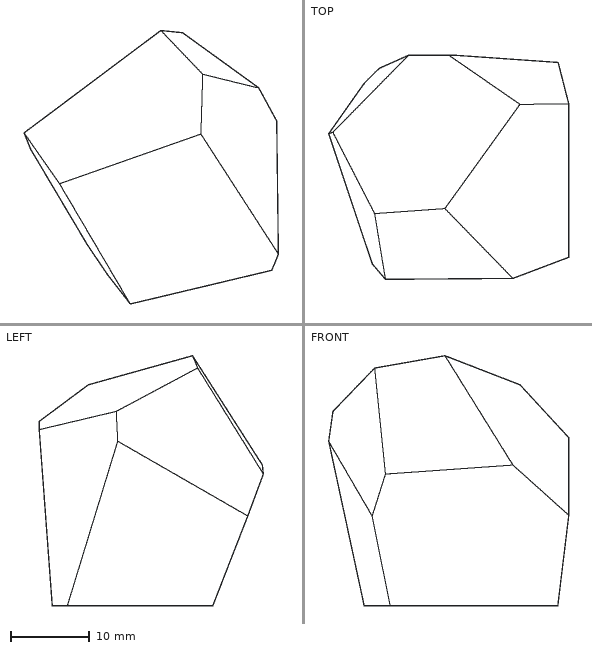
import cadquery as cq

length_x = 30.72
width_y = 28.67
height_z = 32.0

left = -length_x / 2
right = length_x / 2
front = -width_y / 2
back = width_y / 2

peak = cq.Vector(-0.48, -5.28, height_z)
crown_left = cq.Vector(-9.47, -5.92, 30.43)
crown_right = cq.Vector(9.12, 8.03, 28.3)
shoulder_left = cq.Vector(-14.8, 4.48, 24.85)
shoulder_right = cq.Vector(right, 8.1, 21.5)
shoulder_back_left = cq.Vector(-5.12, back, 22.53)
shoulder_back = cq.Vector(0, back, 23.6)

girdle_left = cq.Vector(left, 4.3, 21.05)
girdle_front_left = cq.Vector(-8.1, front, 16.83)
girdle_front_right = cq.Vector(8.15, -14.18, 18.08)
waist_left = cq.Vector(-9.8, -12.35, 11.5)
waist_right = cq.Vector(right, -11.52, 11.6)
waist_back_right = cq.Vector(14.0, 13.4, 10.72)

base_front_left = cq.Vector(-7.5, -7.87, 0)
base_front_right = cq.Vector(13.95, -7.1, 0)
base_back_left = cq.Vector(-8.9, 12.67, 0)

facets = [
    (peak, shoulder_left, crown_right),
    (shoulder_left, shoulder_back_left, crown_right),
    (crown_right, shoulder_back, shoulder_right),
    (peak, girdle_front_right, shoulder_right),
    (peak, crown_left, girdle_front_right),
    (crown_left, girdle_front_left, girdle_left),
    (shoulder_left, shoulder_back_left, girdle_left),
    (girdle_front_right, shoulder_right, waist_right),
    (girdle_left, girdle_front_left, waist_left),
    (girdle_front_left, waist_left, waist_right),
    (waist_left, waist_right, base_front_left),
    (girdle_left, waist_left, base_front_left),
    (girdle_left, shoulder_back_left, base_back_left),
    (shoulder_back_left, base_back_left, waist_back_right),
    (shoulder_right, waist_right, base_front_right),
]

block_size = 4 * height_z
stone_centre = cq.Vector(0, 0, height_z / 2)


def cut_facet(solid, corner_a, corner_b, corner_c):
    """Remove everything outside the plane through three corners."""
    normal = (corner_b - corner_a).cross(corner_c - corner_a)
    if normal.dot(corner_a - stone_centre) < 0:
        normal = -normal
    plane = cq.Plane(origin=corner_a, normal=normal)
    waste = cq.Workplane(plane).rect(block_size, block_size).extrude(block_size)
    return solid.cut(waste)


result = cq.Workplane("XY").box(length_x, width_y, height_z, centered=(True, True, False))
for corners in facets:
    result = cut_facet(result, *corners)